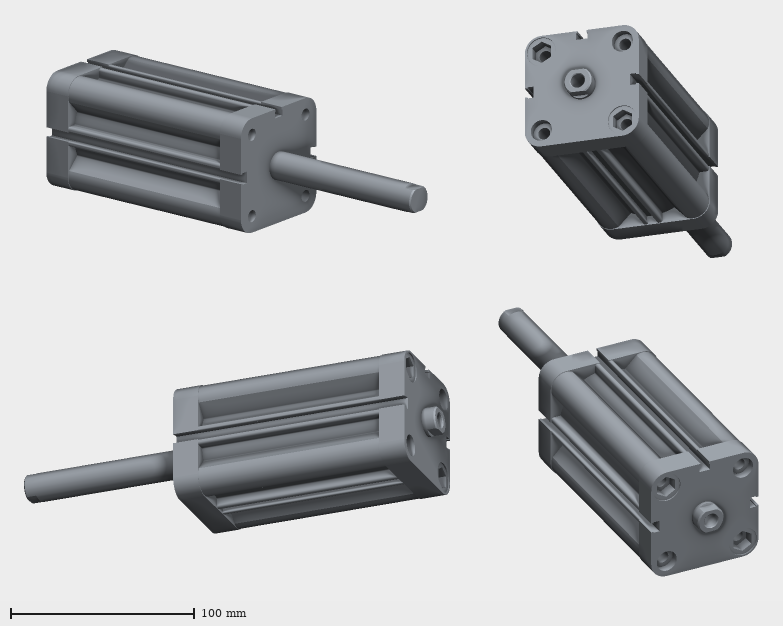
import cadquery as cq
import math

overall_length = 242.5
cap_size = 65.5
corner_radius = 9.5
rear_stub_length = 7.8
rear_cap_length = 15.0
barrel_length = 106.7
front_cap_length = 14.5

rod_start = -overall_length / 2
rear_cap_start = rod_start + rear_stub_length
barrel_start = rear_cap_start + rear_cap_length
front_cap_start = barrel_start + barrel_length

half_size = cap_size / 2
hole_offset = half_size - corner_radius
screw_hole_diameter = 6.8
round_bore_diameter = 12.1
round_bore_depth = 4.8
hex_across_flats = 11.0
hex_socket_depth = 7.3
hex_rim_diameter = 16.7
hex_rim_depth = 0.7

slot_neck_width = 5.3
slot_width = 6.5
slot_depth = 5.0
slot_lip = 1.5

barrel_size = 64.7
lobe_radius = barrel_size / 2 - hole_offset
tube_radius = 27.5
lobe_edge = 19.6
rib_width = 11.2
rib_rounding = 1.5
mouth_rounding = 0.7
foot_rounding = 0.7

rod_diameter = 16.0
rod_chamfer = 0.7
flats_width = 13.0
rear_flats_length = 6.0
front_flats_length = 6.5
flats_runout = 0.5
tapped_hole_diameter = 8.0
tapped_hole_chamfer = 0.5
tapped_hole_depth = 19.5
drill_tip_angle = 118.0

SIDE_ANGLES = (0, 90, 180, 270)


def section_at(x):
    """Workplane across the axis, with local x along +Y and local y along +Z."""
    return cq.Workplane("YZ", origin=(x, 0, 0))


def turned(shape, angle):
    """The shape turned about the cylinder axis."""
    return shape.rotate((0, 0, 0), (1, 0, 0), angle)


def corner_points(offset):
    return [(y, z) for y in (-offset, offset) for z in (-offset, offset)]


def screw_holes(x, length):
    corners = corner_points(hole_offset)
    return section_at(x).pushPoints(corners).circle(screw_hole_diameter / 2).extrude(length)


def rod_hole(x, length):
    return section_at(x).circle(rod_diameter / 2).extrude(length)


def sensor_slot(x, length):
    """T-shaped slot in the top side."""
    floor = half_size - slot_depth
    neck = section_at(x).center(0, half_size - slot_depth / 2).rect(slot_neck_width, slot_depth)
    undercut_height = slot_depth - slot_lip
    undercut = section_at(x).center(0, floor + undercut_height / 2).rect(slot_width, undercut_height)
    return neck.extrude(length).union(undercut.extrude(length))


def end_cap(x, length):
    """Square cap with rounded corners, slotted on every side but the bottom."""
    cap = section_at(x).rect(cap_size, cap_size).extrude(length)
    cap = cap.edges("|X").fillet(corner_radius)
    for angle in (-90, 0, 90):
        cap = cap.cut(turned(sensor_slot(x, length), angle))
    return cap.cut(screw_holes(x, length)).cut(rod_hole(x, length))


def round_bores():
    places = [(-hole_offset, hole_offset), (hole_offset, -hole_offset)]
    bores = section_at(rear_cap_start).pushPoints(places)
    return bores.circle(round_bore_diameter / 2).extrude(round_bore_depth)


def hex_sockets():
    """Hexagonal sockets with a shallow round rim, corners pointing up and down."""
    places = [(hole_offset, hole_offset), (-hole_offset, -hole_offset)]
    hex_corner_diameter = hex_across_flats / math.cos(math.radians(30))
    hexagon = cq.Sketch().regularPolygon(hex_corner_diameter / 2, 6, 0)
    sockets = section_at(rear_cap_start).pushPoints(places).placeSketch(hexagon)
    rims = section_at(rear_cap_start).pushPoints(places).circle(hex_rim_diameter / 2)
    return sockets.extrude(hex_socket_depth).union(rims.extrude(hex_rim_depth))


def make_rear_cap():
    cap = end_cap(rear_cap_start, rear_cap_length)
    return cap.cut(round_bores()).cut(hex_sockets())


def make_front_cap():
    return end_cap(front_cap_start, front_cap_length)


def on_side(point, angle):
    """A point of the top side's outline, moved to the side found by turning clockwise by the angle."""
    across, out = point
    turn = math.radians(angle)
    return (
        across * math.cos(turn) + out * math.sin(turn),
        out * math.cos(turn) - across * math.sin(turn),
    )


def mirrored(point):
    return (-point[0], point[1])


lobe_top = hole_offset + math.sqrt(lobe_radius**2 - (hole_offset - lobe_edge) ** 2)
lobe_middle = hole_offset + lobe_radius * math.sin(math.pi / 4)
flank_shift = lobe_top - lobe_edge
flank_foot = (math.sqrt(2 * tube_radius**2 - flank_shift**2) - flank_shift) / 2

barrel_half = barrel_size / 2
wall_start_angle = math.asin(rib_width / 2 / tube_radius)
wall_middle_angle = (wall_start_angle + math.asin(flank_foot / tube_radius)) / 2
wall_start = (rib_width / 2, tube_radius * math.cos(wall_start_angle))
wall_middle = (tube_radius * math.sin(wall_middle_angle), tube_radius * math.cos(wall_middle_angle))
wall_end = (flank_foot, flank_foot + flank_shift)

slot_mouth = (slot_neck_width / 2, barrel_half)
rib_corner = (rib_width / 2, barrel_half)
half_rib = [
    (slot_width / 2, half_size - slot_depth),
    (slot_width / 2, half_size - slot_lip),
    (slot_neck_width / 2, half_size - slot_lip),
    slot_mouth,
    rib_corner,
]


def barrel_outline():
    """Cross-section with a round lobe in every corner and a slotted rib on every side."""
    rib = [mirrored(point) for point in reversed(half_rib)] + half_rib
    outline = section_at(barrel_start).moveTo(-lobe_edge, lobe_top)
    for angle in SIDE_ANGLES:
        outline = outline.lineTo(*on_side(mirrored(wall_end), angle))
        outline = outline.threePointArc(
            on_side(mirrored(wall_middle), angle), on_side(mirrored(wall_start), angle)
        )
        for point in rib:
            outline = outline.lineTo(*on_side(point, angle))
        outline = outline.lineTo(*on_side(wall_start, angle))
        outline = outline.threePointArc(on_side(wall_middle, angle), on_side(wall_end, angle))
        outline = outline.lineTo(*on_side((lobe_edge, lobe_top), angle))
        outline = outline.threePointArc(
            on_side((lobe_middle, lobe_middle), angle), on_side((-lobe_edge, lobe_top), angle + 90)
        )
    return outline.close()


def round_edges(barrel, point, radius):
    """Round the lengthwise edges at an outline point and its mirror image, on every side."""
    barrel_middle = barrel_start + barrel_length / 2
    edges = cq.Workplane()
    for angle in SIDE_ANGLES:
        for place in (point, mirrored(point)):
            spot = (barrel_middle, *on_side(place, angle))
            edges = edges.add(barrel.edges("|X").edges(cq.NearestToPointSelector(spot)))
    return cq.Workplane(barrel.val().fillet(radius, edges.vals()))


def make_barrel():
    barrel = barrel_outline().extrude(barrel_length)
    barrel = round_edges(barrel, rib_corner, rib_rounding)
    barrel = round_edges(barrel, slot_mouth, mouth_rounding)
    barrel = round_edges(barrel, wall_start, foot_rounding)
    barrel = round_edges(barrel, wall_end, foot_rounding)
    barrel = barrel.cut(screw_holes(barrel_start, barrel_length))
    return barrel.cut(rod_hole(barrel_start, barrel_length))


def wrench_flats(end_x, inward, length):
    """Material removed above and below the flats at one end; inward is the X direction into the rod."""
    flat = flats_width / 2
    surface = rod_diameter / 2
    upper = (
        cq.Workplane("XZ", origin=(end_x, 0, 0))
        .moveTo(0, flat)
        .lineTo(inward * (length - flats_runout), flat)
        .lineTo(inward * length, surface)
        .lineTo(0, surface)
        .close()
        .extrude(surface, both=True)
    )
    return upper.union(upper.mirror("XY"))


def tapped_hole():
    """Blind hole in the rear end of the rod, ending in a drill tip."""
    radius = tapped_hole_diameter / 2
    tip_length = radius / math.tan(math.radians(drill_tip_angle / 2))
    return (
        cq.Workplane("XZ", origin=(rod_start, 0, 0))
        .lineTo(tapped_hole_depth + tip_length, 0)
        .lineTo(tapped_hole_depth, radius)
        .lineTo(tapped_hole_chamfer, radius)
        .lineTo(0, radius + tapped_hole_chamfer)
        .close()
        .revolve(360, (0, 0, 0), (1, 0, 0))
    )


def make_rod():
    rod = section_at(rod_start).circle(rod_diameter / 2).extrude(overall_length)
    rod = rod.faces("<X or >X").chamfer(rod_chamfer)
    rod = rod.cut(wrench_flats(rod_start, 1, rear_flats_length))
    rod = rod.cut(wrench_flats(rod_start + overall_length, -1, front_flats_length))
    return rod.cut(tapped_hole())


rear_cap = make_rear_cap()
barrel = make_barrel()
front_cap = make_front_cap()
rod = make_rod()

result = cq.Compound.makeCompound([rear_cap.val(), barrel.val(), front_cap.val(), rod.val()])